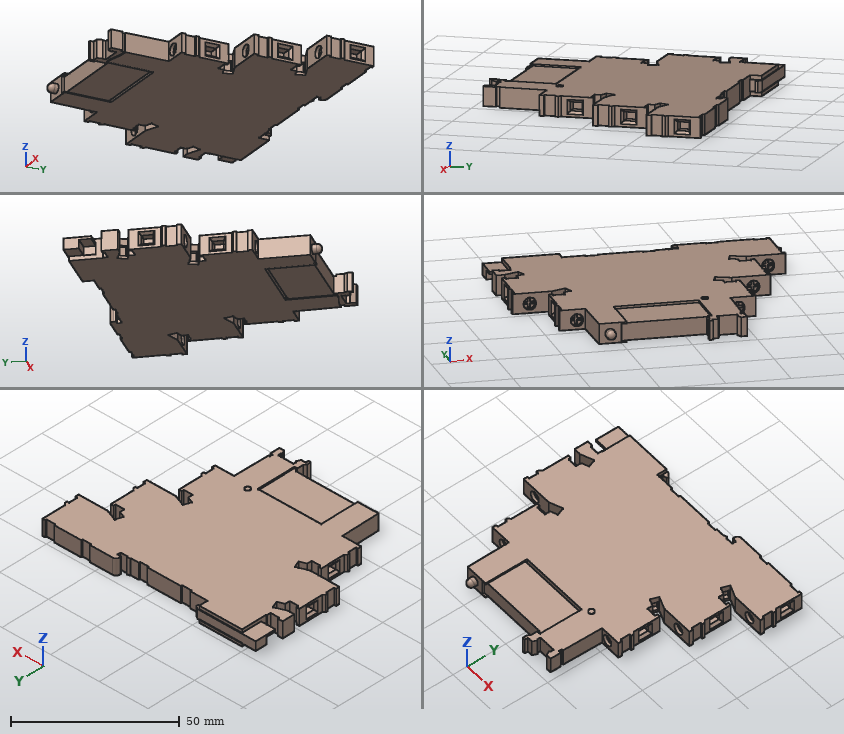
import cadquery as cq

LENGTH = 88.65
HEIGHT = 76.3
THICKNESS = 6.3

AXIS_X = 39.6
STEP_WIDTH = 9.5
STEP_HEIGHT = 19.4
TOP_HALF = LENGTH - AXIS_X
MIDDLE_HALF = TOP_HALF - STEP_WIDTH
LOWER_HALF = MIDDLE_HALF - STEP_WIDTH
LOWER_BOTTOM = 20.85
MIDDLE_BOTTOM = LOWER_BOTTOM + STEP_HEIGHT
TOP_BOTTOM = MIDDLE_BOTTOM + STEP_HEIGHT
TAB = 0.8
LOWER_TAB_TOP = 1.45
UPPER_TAB_BOTTOM = 4.9
UPPER_TAB_TOP = 5.85
TAB_RAMP_TOP = 6.55
LEDGE_RISE = 16.4
LEDGE_GROOVE_RISE = 15.5
LEDGE_GROOVE_OUTER, LEDGE_GROOVE_INNER = 2.0, 5.6
SLOT_MOUTH_INSET, SLOT_MOUTH_RISE = 12.0, -1.95
SLOT_INNER_UPPER = (16.6, 1.85)
SLOT_INNER_LOWER = (17.65, -1.0)

HOUSING_TOP = 76.0
SADDLE_Y = 72.5
GROOVE_DEPTH = 0.55
SADDLE_GROOVES = [(30.5, 34.3), (48.15, 51.65)]
TOP_GROOVES = [(68.4, 71.9), (83.1, 86.7)]
BUMP_X0, BUMP_X1, BUMP_START, BUMP_HEIGHT = 54.9, 56.1, 0.2, 0.5
LEFT_LEDGE_Y, LEFT_GROOVE_Y, LEFT_NOTCH_Y = 64.7, 64.05, 65.55
LEFT_GROOVE_X0, LEFT_GROOVE_X1 = 2.1, 5.6
UPPER_LEFT_X = 5.85
SADDLE_LEFT_X = 23.4
SADDLE_RIGHT_X = 59.1
HOOK_X, HOOK_SIDE_Y, HOOK_LIP_Y, HOOK_ROOT_Y = 57.55, 74.7, 73.95, 73.85
HOOK_BULGE = 0.42

LEG_BOTTOM = 5.1
LEFT_LEG_X = 17.55
RIGHT_LEG_X = 61.65
RIGHT_LEG_BOTTOM = 6.2
LEG_TAPER = 0.2
RELAY_LEFT, RELAY_RIGHT = 26.1, 52.1
RELAY_BOTTOM, RELAY_TOP = 5.9, 20.2
RELAY_Z0, RELAY_Z1 = 0.3, 5.75
RELAY_TUCK = 1.6
PIN_Z0, PIN_Z1 = 2.6, 3.6
PIN_SPANS = [(26.5, 27.3), (29.1, 29.5), (33.5, 34.3), (39.9, 41.2), (41.5, 42.1),
             (45.2, 46.2), (47.8, 48.9), (50.1, 51.3)]
EMBED = 0.5

SLIDER_Z0, SLIDER_Z1 = 1.4, 5.0
SLIDER_BOTTOM = HEIGHT - 8.5
SLIDER_STEP_Y = HEIGHT - 4.75
SLIDER_LIP = 0.85
SLIDER_WINDOW_DEPTH = 0.3
SLIDER_STEM_X, SLIDER_TIP_X, SLIDER_BEVEL_X = 23.8, 25.25, 23.9
SLIDER_HOOK_Y, SLIDER_TIP_Y0, SLIDER_TIP_Y1 = 74.25, 74.6, 75.4

FOOT_Z0 = 0.3
FOOT_LEFT, FOOT_RIGHT = 50.85, 62.0
FOOT_NECK_RIGHT = 61.1
RELEASE_X0, RELEASE_X1 = 50.2, 51.2
RELEASE_SHOULDER_Y, RELEASE_BEND_Y = 1.6, 2.6
CATCH_LEFT, CATCH_RIGHT = 53.4, 59.7
CATCH_TOP, CATCH_STEP_Y, CATCH_NOSE_Y = 4.15, 3.0, 2.8
CATCH_NOSE = 0.4
PRONG_LEFT_END, PRONG_RIGHT_END = 53.1, 60.1
FOOT_TIP_Y = 1.2
FOOT_SLOPE_START, FOOT_SLOPE_END = 53.9, 59.2

LED_X, LED_Z, LED_DIAMETER, LED_SHANK = 20.95, 3.05, 3.0, 1.35
MARK_X, MARK_Y, MARK_DIAMETER, MARK_DEPTH = 54.5, 22.7, 2.07, 0.2

SCREW_INSET, SCREW_Z, SCREW_DIAMETER, SCREW_DEPTH = 5.3, 2.9, 3.8, 1.2
CROSS_LENGTH, CROSS_WIDTH, CROSS_DEPTH = 3.2, 0.8, 0.8
ENTRY_RISE, ENTRY_Z = 10.9, 3.1
ENTRY_OUTER = (5.0, 4.4)
ENTRY_INNER = (3.6, 2.7)
FUNNEL_DEPTH, ENTRY_DEPTH = 1.0, 4.0
PLATE_POCKET_Z0, PLATE_POCKET_Z1 = 0.95, 4.15
PLATE_POCKET_WIDTH, PLATE_POCKET_DEPTH = 2.2, 1.5


def box(x0, x1, y0, y1, z0, z1):
    return cq.Workplane("XY").box(x1 - x0, y1 - y0, z1 - z0, centered=False).translate((x0, y0, z0))


def prism(points, z0, z1):
    return cq.Workplane("XY").workplane(offset=z0).polyline(points).close().extrude(z1 - z0)


def tab_edge(half, bottom):
    """Outer edge of a terminal, from its bottom corner up past the two tabs."""
    face = half - TAB
    return [(half, bottom), (half, bottom + LOWER_TAB_TOP), (face, bottom + LOWER_TAB_TOP),
            (face, bottom + UPPER_TAB_BOTTOM), (half, bottom + UPPER_TAB_BOTTOM),
            (half, bottom + UPPER_TAB_TOP), (face, bottom + TAB_RAMP_TOP)]


def notch_edge(half, bottom):
    """Ledge, groove and slanted slot between a terminal and the wider one above it."""
    ledge_y = bottom + LEDGE_RISE
    groove_y = bottom + LEDGE_GROOVE_RISE
    groove_outer = half - LEDGE_GROOVE_OUTER
    groove_inner = half - LEDGE_GROOVE_INNER
    next_half = half + STEP_WIDTH
    next_bottom = bottom + STEP_HEIGHT
    return [(half - TAB, ledge_y), (groove_outer, ledge_y), (groove_outer, groove_y),
            (groove_inner, groove_y), (groove_inner, next_bottom + SLOT_MOUTH_RISE),
            (next_half - SLOT_INNER_LOWER[0], next_bottom + SLOT_INNER_LOWER[1]),
            (next_half - SLOT_INNER_UPPER[0], next_bottom + SLOT_INNER_UPPER[1]),
            (next_half - SLOT_MOUTH_INSET, next_bottom)]


def groove(x0, x1, y):
    """Shallow marker groove cut into an upper edge."""
    return box(x0, x1, y - GROOVE_DEPTH, y + GROOVE_DEPTH, 0, THICKNESS)


def make_housing():
    steps = (tab_edge(LOWER_HALF, LOWER_BOTTOM) + notch_edge(LOWER_HALF, LOWER_BOTTOM)
             + tab_edge(MIDDLE_HALF, MIDDLE_BOTTOM) + notch_edge(MIDDLE_HALF, MIDDLE_BOTTOM))
    right_steps = [(AXIS_X + u, y) for u, y in steps + tab_edge(TOP_HALF, TOP_BOTTOM)]
    left_steps = [(AXIS_X - u, y) for u, y in reversed(steps)]
    legs = [(LEFT_LEG_X - LEG_TAPER, LOWER_BOTTOM), (LEFT_LEG_X, LEG_BOTTOM), (RELAY_LEFT, LEG_BOTTOM),
            (RELAY_LEFT, LOWER_BOTTOM), (RELAY_RIGHT, LOWER_BOTTOM), (RELAY_RIGHT, LEG_BOTTOM),
            (FOOT_SLOPE_START, LEG_BOTTOM), (FOOT_SLOPE_END, RIGHT_LEG_BOTTOM),
            (RIGHT_LEG_X, RIGHT_LEG_BOTTOM), (RIGHT_LEG_X + LEG_TAPER, LOWER_BOTTOM)]
    saddle_right = [(SADDLE_RIGHT_X, HOOK_ROOT_Y), (SADDLE_RIGHT_X, SADDLE_Y), (BUMP_X1, SADDLE_Y),
                    (BUMP_X1, SADDLE_Y + BUMP_HEIGHT), (BUMP_X0, SADDLE_Y + BUMP_START),
                    (BUMP_X0, SADDLE_Y)]
    upper_left = [(SADDLE_LEFT_X, SADDLE_Y), (SADDLE_LEFT_X, HOUSING_TOP), (UPPER_LEFT_X, HOUSING_TOP),
                  (UPPER_LEFT_X, LEFT_NOTCH_Y), (LEFT_GROOVE_X1, LEFT_NOTCH_Y),
                  (LEFT_GROOVE_X1, LEFT_GROOVE_Y), (LEFT_GROOVE_X0, LEFT_GROOVE_Y),
                  (LEFT_GROOVE_X0, LEFT_LEDGE_Y), (0, LEFT_LEDGE_Y), (0, TOP_BOTTOM)]
    hook_top = (SADDLE_RIGHT_X, HOUSING_TOP)
    hook_side = (HOOK_X, HOOK_SIDE_Y)
    hook_middle = (HOOK_X + HOOK_BULGE, HOUSING_TOP - HOOK_BULGE)
    outline = cq.Workplane("XY").moveTo(*legs[0])
    for point in legs[1:] + right_steps + [(LENGTH - TAB, HOUSING_TOP), hook_top]:
        outline = outline.lineTo(*point)
    outline = outline.threePointArc(hook_middle, hook_side).lineTo(HOOK_X, HOOK_LIP_Y)
    for point in saddle_right + upper_left + left_steps:
        outline = outline.lineTo(*point)
    housing = outline.close().extrude(THICKNESS)
    for x0, x1 in SADDLE_GROOVES:
        housing = housing.cut(groove(x0, x1, SADDLE_Y))
    for x0, x1 in TOP_GROOVES:
        housing = housing.cut(groove(x0, x1, HOUSING_TOP))
    return housing


def make_screw(x, bottom):
    """Screw hole with a cross slot in its floor, opening toward -Y."""
    hole = (cq.Workplane("XZ", origin=(x, bottom, SCREW_Z))
            .circle(SCREW_DIAMETER / 2).extrude(-SCREW_DEPTH))
    cross_plane = cq.Workplane("XZ", origin=(x, bottom + SCREW_DEPTH, SCREW_Z))
    bar = cross_plane.rect(CROSS_LENGTH, CROSS_WIDTH).extrude(-CROSS_DEPTH)
    upright = cross_plane.rect(CROSS_WIDTH, CROSS_LENGTH).extrude(-CROSS_DEPTH)
    return hole.union(bar).union(upright)


def make_wire_entry(half, bottom):
    """Tapered square entry on the right-hand face of a terminal."""
    plane = cq.Workplane("YZ", origin=(AXIS_X + half - TAB, bottom + ENTRY_RISE, ENTRY_Z))
    funnel = plane.rect(*ENTRY_OUTER).workplane(offset=-FUNNEL_DEPTH).rect(*ENTRY_INNER).loft()
    return funnel.union(plane.rect(*ENTRY_INNER).extrude(-ENTRY_DEPTH))


def make_plate_pocket(half, bottom):
    """Pocket in the inner wall of the right-hand slot below a terminal."""
    upper = cq.Vector(AXIS_X + half - SLOT_INNER_UPPER[0], bottom + SLOT_INNER_UPPER[1], 0)
    lower = cq.Vector(AXIS_X + half - SLOT_INNER_LOWER[0], bottom + SLOT_INNER_LOWER[1], 0)
    along = (upper - lower).normalized()
    inward = cq.Vector(-along.y, along.x, 0)
    middle = (upper + lower) * 0.5
    start = middle - along * (PLATE_POCKET_WIDTH / 2)
    end = middle + along * (PLATE_POCKET_WIDTH / 2)
    corners = [start, end, end + inward * PLATE_POCKET_DEPTH, start + inward * PLATE_POCKET_DEPTH]
    return prism([(corner.x, corner.y) for corner in corners], PLATE_POCKET_Z0, PLATE_POCKET_Z1)


def mirrored(shape):
    return shape.mirror("YZ", (AXIS_X, 0, 0))


def cut_terminals(housing):
    terminals = [(LOWER_HALF, LOWER_BOTTOM), (MIDDLE_HALF, MIDDLE_BOTTOM), (TOP_HALF, TOP_BOTTOM)]
    for half, bottom in terminals:
        details = make_wire_entry(half, bottom).union(make_screw(AXIS_X + half - SCREW_INSET, bottom))
        housing = housing.cut(details)
        if half != TOP_HALF:
            housing = housing.cut(mirrored(details))
        if half != LOWER_HALF:
            pocket = make_plate_pocket(half, bottom)
            housing = housing.cut(pocket).cut(mirrored(pocket))
    return housing


def make_relay():
    """Relay body held between the legs, with its pins reaching up into the housing."""
    relay = box(RELAY_LEFT - RELAY_TUCK, RELAY_RIGHT, RELAY_BOTTOM, RELAY_TOP, RELAY_Z0, RELAY_Z1)
    for x0, x1 in PIN_SPANS:
        relay = relay.union(box(x0, x1, RELAY_TOP - EMBED, LOWER_BOTTOM + EMBED, PIN_Z0, PIN_Z1))
    return relay


def make_slider():
    """Latch strip over the upper left edge, with a stepped end block and a hooked tip."""
    outline = [(0, SLIDER_BOTTOM), (UPPER_LEFT_X, SLIDER_BOTTOM), (UPPER_LEFT_X, HOUSING_TOP),
               (SADDLE_LEFT_X, HOUSING_TOP), (SADDLE_LEFT_X, SADDLE_Y),
               (SLIDER_STEM_X, SADDLE_Y), (SLIDER_STEM_X, SLIDER_HOOK_Y), (SLIDER_TIP_X, SLIDER_TIP_Y0),
               (SLIDER_TIP_X, SLIDER_TIP_Y1), (SLIDER_BEVEL_X, HEIGHT), (0, HEIGHT)]
    slider = prism(outline, SLIDER_Z0, SLIDER_Z1)
    undercut = box(0, UPPER_LEFT_X, SLIDER_BOTTOM, SLIDER_STEP_Y, SLIDER_Z0, SLIDER_Z1 - SLIDER_LIP)
    return slider.cut(undercut)


def make_slider_window():
    return box(UPPER_LEFT_X, UPPER_LEFT_X + SLIDER_WINDOW_DEPTH, SLIDER_BOTTOM, SLIDER_STEP_Y,
               SLIDER_Z0, SLIDER_Z1 - SLIDER_LIP)


def make_foot():
    """Two-pronged catch below the right leg, with a small release tip on the left prong."""
    outline = [(FOOT_LEFT, LEG_BOTTOM), (FOOT_LEFT, RELEASE_BEND_Y), (RELEASE_X0, RELEASE_SHOULDER_Y),
               (RELEASE_X0, 0), (RELEASE_X1, 0), (RELEASE_X1, FOOT_TIP_Y), (PRONG_LEFT_END, FOOT_TIP_Y),
               (CATCH_LEFT + CATCH_NOSE, CATCH_NOSE_Y), (CATCH_LEFT, CATCH_STEP_Y),
               (CATCH_LEFT, CATCH_TOP), (CATCH_RIGHT, CATCH_TOP), (CATCH_RIGHT, CATCH_STEP_Y),
               (CATCH_RIGHT - CATCH_NOSE, CATCH_NOSE_Y), (PRONG_RIGHT_END, FOOT_TIP_Y),
               (FOOT_RIGHT, FOOT_TIP_Y), (FOOT_RIGHT, LEG_BOTTOM), (FOOT_NECK_RIGHT, LEG_BOTTOM),
               (FOOT_NECK_RIGHT, RIGHT_LEG_BOTTOM), (FOOT_SLOPE_END, RIGHT_LEG_BOTTOM),
               (FOOT_SLOPE_START, LEG_BOTTOM)]
    foot = prism(outline, FOOT_Z0, THICKNESS)
    neck = box(FOOT_LEFT, RELAY_RIGHT, LEG_BOTTOM, RELAY_BOTTOM, FOOT_Z0, RELAY_Z1)
    return foot.union(neck)


def make_led():
    radius = LED_DIAMETER / 2
    shank = (cq.Workplane("XZ", origin=(LED_X, LEG_BOTTOM + EMBED, LED_Z))
             .circle(radius).extrude(LED_SHANK + EMBED))
    dome = cq.Workplane("XY").sphere(radius).translate((LED_X, LEG_BOTTOM - LED_SHANK, LED_Z))
    return shank.union(dome)


housing = cut_terminals(make_housing()).cut(make_slider_window())
left_leg_recess = box(RELAY_LEFT - RELAY_TUCK, RELAY_LEFT, LEG_BOTTOM, RELAY_BOTTOM, RELAY_Z0, RELAY_Z1)
mark = (cq.Workplane("XY", origin=(MARK_X, MARK_Y, THICKNESS))
        .circle(MARK_DIAMETER / 2).extrude(-MARK_DEPTH))
housing = housing.cut(left_leg_recess).cut(mark)
result = housing.union(make_relay()).union(make_foot()).union(make_slider()).union(make_led())